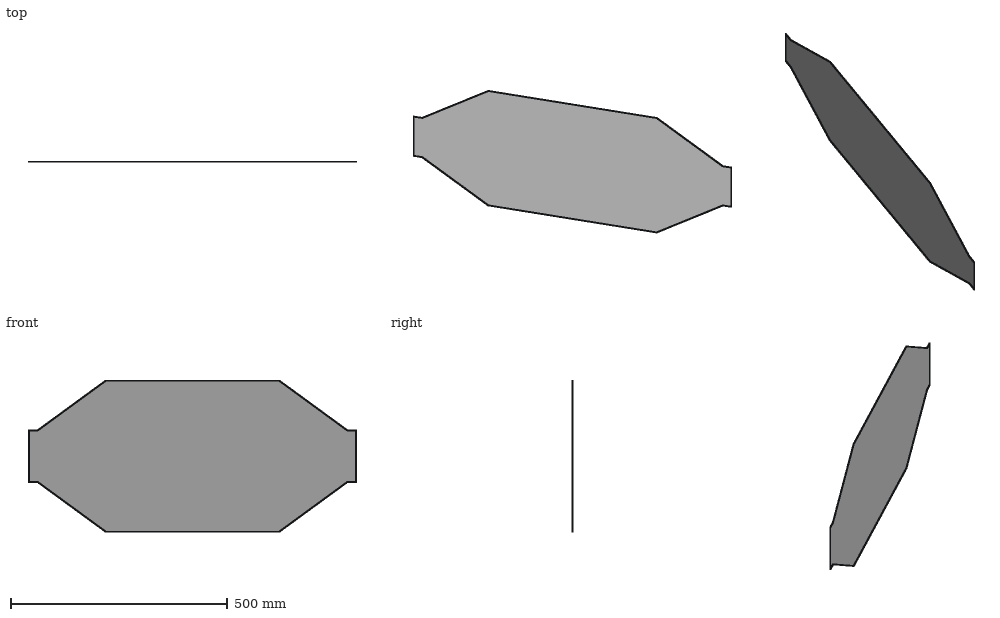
import cadquery as cq

overall_length = 757.23
sheet_thickness = 0.8
panel_height = 350.0
tab_height = 120.0
panel_length = 399.0
tab_length = 19.1
bend_width = 1.25

panel_end = panel_length / 2
wing_start = panel_end + bend_width
blank_end = overall_length / 2
tab_start = blank_end - tab_length
wing_end = tab_start - bend_width


def plate(x_start, x_end, start_height, end_height):
    """Symmetric trapezoidal sheet zone between two X positions."""
    outline = [
        (x_start, -start_height / 2),
        (x_end, -end_height / 2),
        (x_end, end_height / 2),
        (x_start, start_height / 2),
    ]
    return (
        cq.Workplane("XZ")
        .polyline(outline)
        .close()
        .extrude(sheet_thickness / 2, both=True)
    )


def end_zones(side):
    """Bend strips, tapered wing and tab on one end; side is -1 or +1."""
    return [
        plate(side * panel_end, side * wing_start, panel_height, panel_height),
        plate(side * wing_start, side * wing_end, panel_height, tab_height),
        plate(side * wing_end, side * tab_start, tab_height, tab_height),
        plate(side * tab_start, side * blank_end, tab_height, tab_height),
    ]


blank = plate(-panel_end, panel_end, panel_height, panel_height)
for side in (-1, 1):
    for zone in end_zones(side):
        blank = blank.union(zone, clean=False)

result = blank.solids()